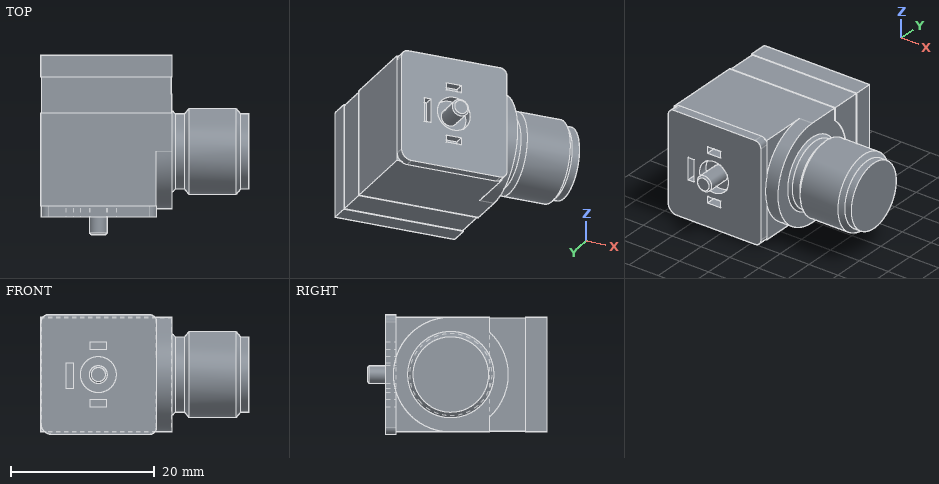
import cadquery as cq

housing_width = 18.27
housing_height = 15.98
cap_depth = 3.0
waist_depth = 5.0
waist_inset = 0.1
body_depth = 13.0

shoulder_length = 2.2

plate_left = 0.05
plate_right = 16.13
plate_height = 16.7
plate_depth = 1.5
plate_corner_radius = 1.0
plate_large_corner_radius = 1.5

pin_x = 8.02
pin_diameter = 2.5
pin_length = 2.5
pin_chamfer = 0.25
recess_diameter = 5.0
opening_depth = plate_depth
blade_slot_length = 2.3
blade_slot_width = 1.05
blade_slot_offset = 4.0
earth_slot_length = 3.6
earth_slot_width = 1.0
earth_slot_offset = 4.0
earth_slot_drop = 0.17

thread_diameter = 12.0
neck_diameter = 10.5
connector_y = 9.12
connector_end = 28.95
collar_chamfer = 0.45
neck_length = 1.27
thread_chamfer_length = 0.65
tip_length = 1.13

body_front = plate_depth
waist_front = body_front + body_depth
cap_front = waist_front + waist_depth

shoulder_start = housing_width - shoulder_length
shoulder_radius = housing_height / 2


def block(x_start, x_end, y_start, depth, height):
    """Box centred on Z = 0."""
    width = x_end - x_start
    return cq.Workplane("XY").box(width, depth, height, centered=(False, False, True)).translate(
        (x_start, y_start, 0)
    )


def make_housing():
    main = block(0, shoulder_start, body_front, body_depth, housing_height)
    behind_axis = block(
        shoulder_start, housing_width, connector_y, waist_front - connector_y, housing_height
    )
    shoulder = (
        cq.Workplane("YZ", origin=(shoulder_start, connector_y, 0))
        .circle(shoulder_radius)
        .extrude(shoulder_length)
    )
    waist_height = housing_height - 2 * waist_inset
    waist = block(waist_inset, housing_width - waist_inset, waist_front, waist_depth, waist_height)
    cap = block(0, housing_width, cap_front, cap_depth, housing_height)
    return main.union(behind_axis).union(shoulder).union(waist).union(cap)


def make_connector():
    """Revolved about X: collar cone, neck, chamfered thread and tip."""
    neck_radius = neck_diameter / 2
    thread_radius = thread_diameter / 2
    neck_start = housing_width + collar_chamfer
    neck_end = neck_start + neck_length
    tip_start = connector_end - tip_length
    return (
        cq.Workplane("XY", origin=(0, connector_y, 0))
        .moveTo(shoulder_start, 0)
        .lineTo(shoulder_start, neck_radius + collar_chamfer)
        .lineTo(housing_width, neck_radius + collar_chamfer)
        .lineTo(neck_start, neck_radius)
        .lineTo(neck_end, neck_radius)
        .lineTo(neck_end + thread_chamfer_length, thread_radius)
        .lineTo(tip_start - thread_chamfer_length, thread_radius)
        .lineTo(tip_start, neck_radius)
        .lineTo(connector_end, neck_radius)
        .lineTo(connector_end, 0)
        .close()
        .revolve(360, (0, 0, 0), (1, 0, 0))
    )


def make_plate():
    """Rounded plate whose lower left corner has a larger radius."""
    plate = block(plate_left, plate_right, 0, plate_depth, plate_height)
    for side in ("<Z", ">Z"):
        plate = plate.edges("|Y and >X").edges(side).fillet(plate_corner_radius)
    plate = plate.edges("|Y and <X").edges(">Z").fillet(plate_corner_radius)
    return plate.edges("|Y and <X").edges("<Z").fillet(plate_large_corner_radius)


def slot(x_center, z_center, x_size, z_size):
    return (
        cq.Workplane("XZ", origin=(x_center, 0, z_center))
        .rect(x_size, z_size)
        .extrude(-opening_depth)
    )


def cut_plate_openings(part):
    recess = (
        cq.Workplane("XZ", origin=(pin_x, 0, 0))
        .circle(recess_diameter / 2)
        .extrude(-opening_depth)
    )
    part = part.cut(recess)
    for side in (1, -1):
        part = part.cut(slot(pin_x, side * blade_slot_offset, blade_slot_length, blade_slot_width))
    return part.cut(slot(pin_x - earth_slot_offset, -earth_slot_drop, earth_slot_width, earth_slot_length))


def make_pin():
    """Pin standing on the recess floor, chamfered at its front end."""
    return (
        cq.Workplane("XZ", origin=(pin_x, opening_depth, 0))
        .circle(pin_diameter / 2)
        .extrude(opening_depth + pin_length)
        .faces("<Y")
        .chamfer(pin_chamfer)
    )


result = cut_plate_openings(make_housing().union(make_connector()).union(make_plate()))
result = result.union(make_pin())